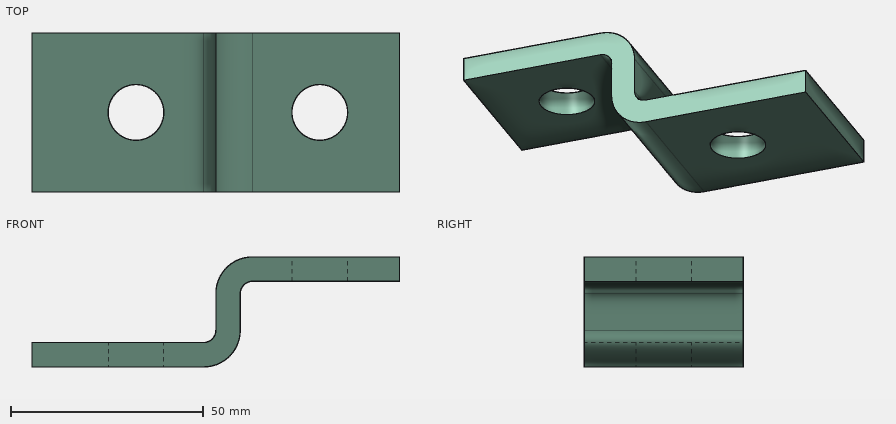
import cadquery as cq

length = 95.3
width = 41.3
height = 28.6
thickness = 6.4

inner_radius = 3.1
outer_radius = inner_radius + thickness
web_left = length / 2
web_right = web_left + thickness

hole_diameter = 14.4
lower_hole_x = 27.0
hole_spacing = 47.65
hole_positions = [(lower_hole_x, 0), (lower_hole_x + hole_spacing, 0)]


def make_strap():
    """Z-shaped strip with concentric inner and outer bend radii."""
    strap = (
        cq.Workplane("XZ")
        .polyline([
            (0, 0),
            (web_right, 0),
            (web_right, height - thickness),
            (length, height - thickness),
            (length, height),
            (web_left, height),
            (web_left, thickness),
            (0, thickness),
        ])
        .close()
        .extrude(width / 2, both=True)
    )
    outer_corners = [(web_right, 0, 0), (web_left, 0, height)]
    inner_corners = [(web_left, 0, thickness), (web_right, 0, height - thickness)]
    for corner in outer_corners:
        strap = strap.edges(cq.NearestToPointSelector(corner)).fillet(outer_radius)
    for corner in inner_corners:
        strap = strap.edges(cq.NearestToPointSelector(corner)).fillet(inner_radius)
    return strap


def make_hole_cutters():
    """Vertical cylinders spanning the full height of the strap."""
    return (
        cq.Workplane("XY")
        .pushPoints(hole_positions)
        .circle(hole_diameter / 2)
        .extrude(height)
    )


result = make_strap().cut(make_hole_cutters())